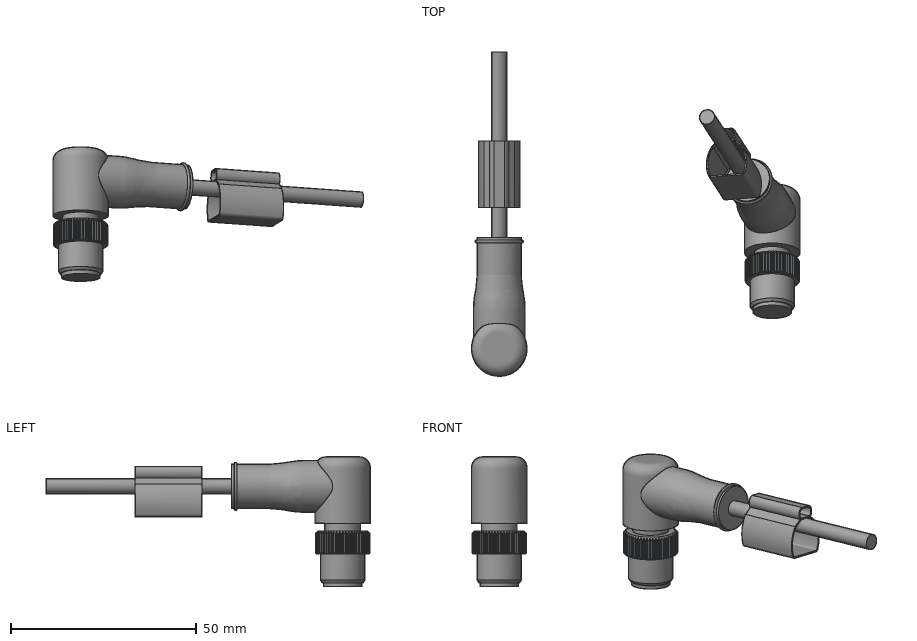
import cadquery as cq
import math


housing_radius = 7.5
housing_top = 8.0
housing_bottom = -10.0
housing_fillet = 3.0

neck_radius = 4.85

nut_radius = 7.35
nut_top = -12.0
nut_bottom = -18.25
nut_top_chamfer = 0.7
nut_bottom_chamfer = 0.3
knurl_count = 54
knurl_depth = 0.4
knurl_crest_share = 0.4
knurl_root_share = 0.2

sleeve_radius = 6.0
sleeve_chamfer_top = -25.25
sleeve_end = -26.0
sleeve_end_radius = 5.5
spigot_radius = 5.2
spigot_end = -27.0

boot_root_radius = 7.0
boot_tip_radius = 6.0
flare_start = 10.75
flare_end = 19.75
boot_end = 30.0
bead_position = 28.85
bead_centre_radius = 6.1
bead_section_radius = 0.4

cable_radius = 2.08
cable_end = 80.0

clip_start = 38.0
clip_length = 18.0
clip_wall = 0.4
clip_side_middle = (5.6, -4.5)
clip_foot = (5.1, -7.6)
clip_floor = -8.25
clip_floor_half_width = 4.15
shoulder_low = (4.05, 0.6)
shoulder_high = (3.45, 1.1)
roof_half_width = 1.8
roof_height = 2.4
ear_top = 5.4
ear_flat_half_width = 1.4
ear_half_width = 2.6
ear_upper_bend = (2.25, 4.75)
ear_wall_top = 3.7
ear_wall_bottom = 3.5
ear_lower_bend = (2.35, 2.6)


def polar_point(radius, angle):
    return (radius * math.cos(angle), radius * math.sin(angle))


def cylinder_z(radius, bottom, top):
    return cq.Workplane("XY").workplane(offset=bottom).circle(radius).extrude(top - bottom)


def make_housing():
    body = cylinder_z(housing_radius, housing_bottom, housing_top)
    return body.faces(">Z").edges().fillet(housing_fillet)


def make_nut():
    nut = cylinder_z(nut_radius, nut_bottom, nut_top)
    nut = nut.faces(">Z").edges().chamfer(nut_top_chamfer)
    nut = nut.faces("<Z").edges().chamfer(nut_bottom_chamfer)

    pitch = 2 * math.pi / knurl_count
    root_radius = nut_radius - knurl_depth
    half_crest = knurl_crest_share * pitch / 2
    half_root = knurl_root_share * pitch / 2
    outline = []
    for index in range(knurl_count):
        crest_angle = math.pi / 2 + index * pitch
        root_angle = crest_angle + pitch / 2
        outline.append(polar_point(nut_radius, crest_angle - half_crest))
        outline.append(polar_point(nut_radius, crest_angle + half_crest))
        outline.append(polar_point(root_radius, root_angle - half_root))
        outline.append(polar_point(root_radius, root_angle + half_root))
    knurl = cq.Workplane("XY").workplane(offset=nut_bottom).polyline(outline).close()
    return nut.intersect(knurl.extrude(nut_top - nut_bottom))


def make_sleeve():
    profile = (
        cq.Workplane("XZ")
        .moveTo(0, nut_bottom)
        .lineTo(sleeve_radius, nut_bottom)
        .lineTo(sleeve_radius, sleeve_chamfer_top)
        .lineTo(sleeve_end_radius, sleeve_end)
        .lineTo(spigot_radius, sleeve_end)
        .lineTo(spigot_radius, spigot_end)
        .lineTo(0, spigot_end)
        .close()
    )
    return profile.revolve(360, (0, 0), (0, 1))


def make_boot():
    along_y = (0, 1)
    profile = (
        cq.Workplane("XY")
        .lineTo(boot_root_radius, 0)
        .lineTo(boot_root_radius, flare_start)
        .spline([(boot_tip_radius, flare_end)], tangents=[along_y, along_y], includeCurrent=True)
        .lineTo(boot_tip_radius, boot_end)
        .lineTo(0, boot_end)
        .close()
    )
    body = profile.revolve(360, (0, 0), along_y)
    bead_section = cq.Workplane("XY").center(bead_centre_radius, bead_position).circle(bead_section_radius)
    bead = bead_section.revolve(360, (-bead_centre_radius, 0), (-bead_centre_radius, 1))
    return body.union(bead)


def make_cable():
    return cq.Workplane("XZ").circle(cable_radius).extrude(-cable_end)


def clip_plane():
    return cq.Workplane("XZ", origin=(0, clip_start, 0))


def hollow_clip_part(half_outline):
    outer_wire = half_outline.mirrorY().wires().val()
    inner_wire = outer_wire.offset2D(-clip_wall)[0]
    return clip_plane().add(outer_wire).add(inner_wire).toPending().extrude(-clip_length)


def make_clip_chamber():
    half_outline = (
        clip_plane()
        .moveTo(0, clip_floor)
        .lineTo(clip_floor_half_width, clip_floor)
        .tangentArcPoint(clip_foot, relative=False)
        .threePointArc(clip_side_middle, shoulder_low)
        .lineTo(*shoulder_high)
        .lineTo(roof_half_width, roof_height)
        .lineTo(0, roof_height)
    )
    return hollow_clip_part(half_outline)


def make_clip_ear():
    ear_floor = roof_height - clip_wall
    half_outline = (
        clip_plane()
        .moveTo(0, ear_floor)
        .lineTo(roof_half_width, ear_floor)
        .threePointArc(ear_lower_bend, (ear_half_width, ear_wall_bottom))
        .lineTo(ear_half_width, ear_wall_top)
        .threePointArc(ear_upper_bend, (ear_flat_half_width, ear_top))
        .lineTo(0, ear_top)
    )
    return hollow_clip_part(half_outline)


neck = cylinder_z(neck_radius, nut_top, housing_bottom)
result = make_housing().union(neck).union(make_nut()).union(make_sleeve())
result = result.union(make_boot()).union(make_cable())
result = result.union(make_clip_chamber()).union(make_clip_ear())